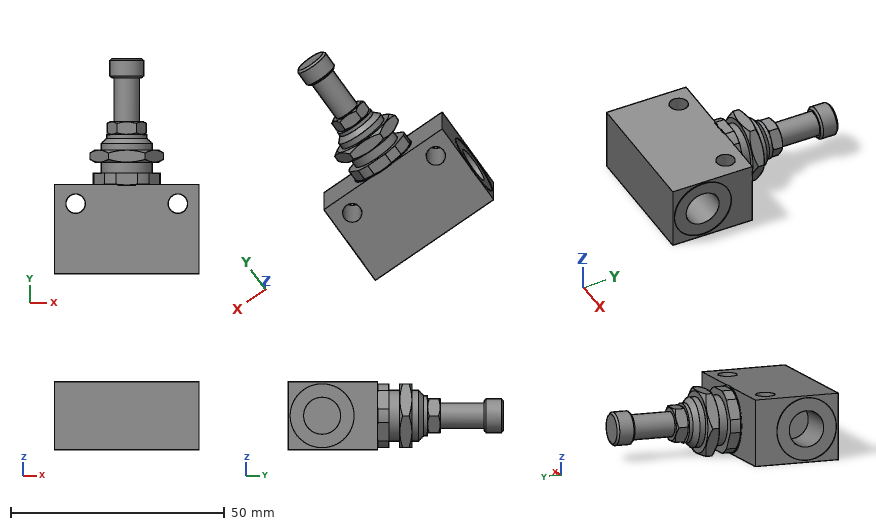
import cadquery as cq
import math

block_width = 34.0
block_depth = 21.0
block_height = 16.0

mount_hole_diameter = 4.5
mount_hole_spacing = 24.0
mount_hole_from_back = 4.5

port_from_front = 8.0
port_diameter = 8.7
port_depth = 10.0

port_seat_diameter = 15.0
spindle_seat_diameter = 16.1
seat_depth = 0.2

large_hex_flats = 15.0
small_hex_flats = 8.0
base_hex_turned_diameter = 15.8
base_hex_face_diameter = 14.8
panel_nut_face_diameter = 14.7
lock_nut_face_diameter = 7.8
nut_chamfer_angle = 30.0

bushing_diameter = 12.0
collar_diameter = 9.5
spindle_diameter = 6.0
knob_diameter = 8.0
knob_edge_chamfer = 0.5

base_hex_top = 2.65
panel_nut_bottom = 5.15
panel_nut_top = 8.15
collar_bottom = 10.85
collar_top = 11.72
lock_nut_top = 14.75
knob_bottom = 25.0
knob_top = 29.56

bushing_shoulder = collar_bottom - (bushing_diameter - collar_diameter) / 2


def spindle_plane(height):
    """Plane across the spindle axis, facing +Y, with local X along X."""
    origin = (0, block_depth + height, 0)
    return cq.Workplane(cq.Plane(origin=origin, xDir=(1, 0, 0), normal=(0, 1, 0)))


def disc(diameter, bottom, top):
    return spindle_plane(bottom).circle(diameter / 2).extrude(top - bottom)


def across_corners(flats):
    """Corner-to-corner size of a hexagon given across its flats."""
    return 2 * flats / math.sqrt(3)


def hexagon(flats, bottom, top):
    """Hexagonal prism with two flats facing +Z and -Z."""
    return spindle_plane(bottom).polygon(6, across_corners(flats)).extrude(top - bottom)


def chamfer_drop(overhang):
    """Axial height of a corner chamfer that reaches in by the radial overhang."""
    return overhang * math.tan(math.radians(nut_chamfer_angle))


def chamfered_nut(flats, face_diameter, bottom, top):
    """Hexagon whose corners are turned down to a round face at both ends."""
    corner_radius = across_corners(flats) / 2
    overhang = corner_radius - face_diameter / 2
    envelope = disc(2 * corner_radius, bottom, top)
    envelope = envelope.faces("<Y or >Y").chamfer(chamfer_drop(overhang), overhang)
    return hexagon(flats, bottom, top).intersect(envelope)


def make_block():
    block = cq.Workplane("XY").box(
        block_width, block_depth, block_height, centered=(True, False, True)
    )
    hole_y = block_depth - mount_hole_from_back
    holes = (
        cq.Workplane("XY", origin=(0, hole_y, -block_height / 2))
        .pushPoints([(-mount_hole_spacing / 2, 0), (mount_hole_spacing / 2, 0)])
        .circle(mount_hole_diameter / 2)
        .extrude(block_height)
    )
    block = block.cut(holes)
    for side in (-1, 1):
        block = block.cut(port_cutter(side))
    return block.cut(disc(spindle_seat_diameter, -seat_depth, 0))


def port_cutter(side):
    """Blind port with a shallow sealing seat, entering from the -X or +X end."""
    mouth = cq.Workplane("YZ", origin=(side * block_width / 2, port_from_front, 0))
    seat = mouth.circle(port_seat_diameter / 2).extrude(-side * seat_depth)
    bore = mouth.circle(port_diameter / 2).extrude(-side * port_depth)
    return seat.union(bore)


def make_base_hex():
    """Hexagon with turned corners, standing in the spindle seat on a chamfered face."""
    overhang = (base_hex_turned_diameter - base_hex_face_diameter) / 2
    turned_envelope = disc(base_hex_turned_diameter, -seat_depth, base_hex_top)
    turned_envelope = turned_envelope.faces("<Y").chamfer(chamfer_drop(overhang), overhang)
    return hexagon(large_hex_flats, -seat_depth, base_hex_top).intersect(turned_envelope)


def make_bushing():
    """Bushing, cone, collar and spindle turned as one profile about the Y axis."""
    profile = [
        (0, -seat_depth),
        (bushing_diameter / 2, -seat_depth),
        (bushing_diameter / 2, bushing_shoulder),
        (collar_diameter / 2, collar_bottom),
        (collar_diameter / 2, collar_top),
        (spindle_diameter / 2, collar_top),
        (spindle_diameter / 2, knob_bottom),
        (0, knob_bottom),
    ]
    turned = cq.Workplane("XY").polyline(profile).close().revolve(360, (0, 0, 0), (0, 1, 0))
    return turned.translate((0, block_depth, 0))


def make_knob():
    return disc(knob_diameter, knob_bottom, knob_top).edges("%CIRCLE").chamfer(knob_edge_chamfer)


result = (
    make_block()
    .union(make_base_hex())
    .union(make_bushing())
    .union(chamfered_nut(large_hex_flats, panel_nut_face_diameter, panel_nut_bottom, panel_nut_top))
    .union(chamfered_nut(small_hex_flats, lock_nut_face_diameter, collar_top, lock_nut_top))
    .union(make_knob())
)